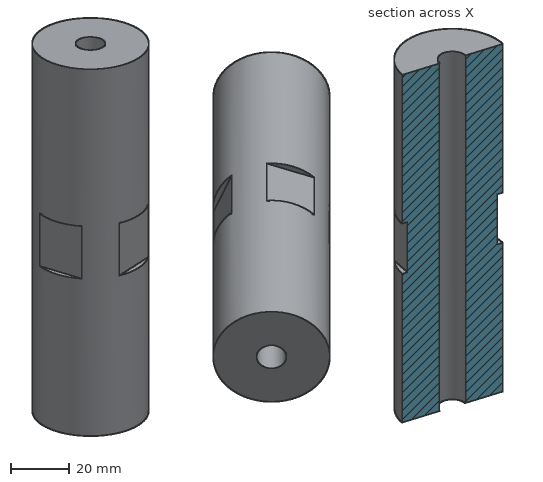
import cadquery as cq

length = 140.0
diameter = 40.0
bore_diameter = 10.2
across_flats = 36.0
flat_height = 20.0


def make_body():
    """Round bar along Z, centred on the origin, with an axial through bore."""
    return (
        cq.Workplane("XY")
        .circle(diameter / 2)
        .circle(bore_diameter / 2)
        .extrude(length / 2, both=True)
    )


def make_flats_cutter():
    """Square-holed block that leaves four wrench flats at mid-length."""
    block = cq.Workplane("XY").box(2 * diameter, 2 * diameter, flat_height)
    core = cq.Workplane("XY").box(across_flats, across_flats, flat_height)
    return block.cut(core)


result = make_body().cut(make_flats_cutter())